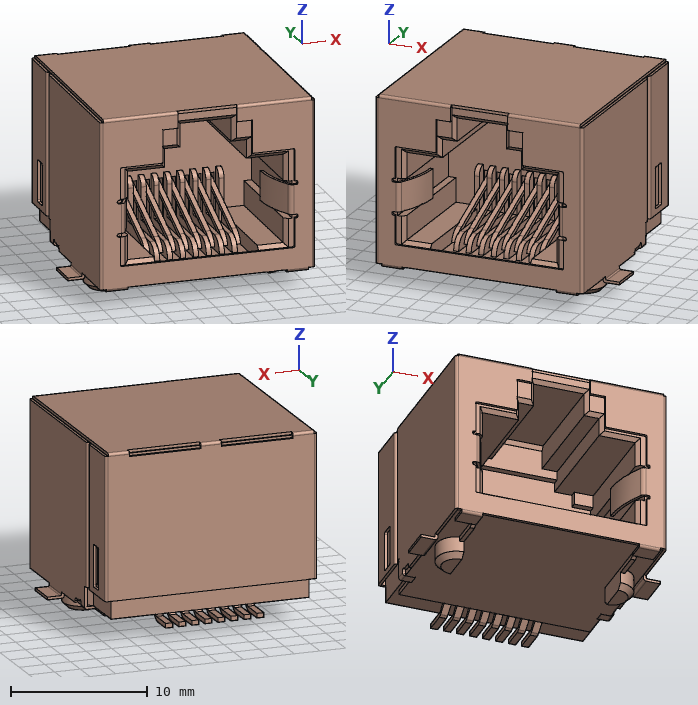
import cadquery as cq


sheet = 0.22
fold_radius = 0.2
half_width = 8.3
depth = 15.64
top_z = 13.6
bottom_z = 0.48
seam = 0.03
inner_half_width = half_width - sheet
inner_top_z = top_z - sheet

cover_bottom_z = 2.28
flap_front_y = 12.17
side_rear_y = 11.85
gap_edge_radius = 0.2
side_lower_rear_y = 11.4
window_y = (13.16, 14.23)
window_z = (2.76, 6.0)
window_radius = 0.12
rear_slot_x = (0.8, 6.4)
rear_slot_front_y = 15.25
rear_slot_bottom_z = 13.2

opening_half_widths = (6.73, 3.46, 2.28)
opening_bottom_z = 2.14
opening_step_z = (9.77, 12.34)
opening_corner_radius = 0.12
relief_diameter = 0.28

finger_z = (4.7, 7.0)
finger_slit_x = 6.83
finger_root_x = 6.8
finger_bend_x = (6.3, 6.65)
finger_bend_y = 0.25
finger_bend_middle = (6.44, 0.06)
finger_bow_middle = (5.64, 1.85)
finger_back_bend = (6.45, 0.42)
finger_back_bow_middle = (5.84, 1.95)
finger_back_root_x = 6.58
finger_tip = (5.35, 3.8)

solder_tab_y = (4.13, 6.65)
solder_tab_half_span = 9.4
solder_tab_inner_radius = 0.1
notch_y = (9.4, 10.63)
notch_top_z = 0.86
notch_chamfer = 0.12
side_fold_x = 7.3
front_fold_x = (6.15, 7.8)
front_fold_rear_y = 1.45

housing_rear_y = 15.4
housing_rear_half_width = 7.75
ledge_y = 13.36
ledge_z = 0.83
ledge_half_width = 7.5

mouth_half_widths = (6.3, 3.46, 2.28)
mouth_step_z = (9.56, 11.0)
mouth_top_z = 12.82
mouth_chamfer = 0.3
cavity_rear_y = 9.4
finger_slot_x = 6.6
finger_slot_z = (4.35, 7.25)
corner_stop_x = 4.52
corner_stop_z = 8.26
stop_thickness = 0.5
upper_stop_z = 10.0
ceiling_wedge = (0.2, 0.35)

contact_count = 8
pitch = 1.0
blade_width = 0.4
channel_half_width = 4.0
channel_floor_z = 1.3
rib_top_z = 2.46
rib_front_y = 2.65
comb_depth = 0.75
comb_round_z = 5.0
comb_top_z = 5.7
contact_bend = (4.35, 2.6)
contact_tip = (3.4, 1.65)
contact_curl_middle = (3.72, 2.22)
contact_under_middle = (3.98, 2.03)
contact_rear = (11.0, 5.26)
contact_thickness = 0.3

tail_pitch = 1.02
tail_width = 0.55
tail_end_y = 16.35
tail_thickness = 0.36
tail_top_y = (13.95, 14.43)
tail_under_y = (13.42, 14.35, 14.6)
tail_under_z = 0.1

peg_radius = 1.55
peg_x = 6.15
peg_y = 5.39
peg_bottom_z = -1.15
peg_chamfer = 0.42
standoff_x = (6.15, 6.5)
standoff_z = 0.12
standoff_y = (1.45, 4.2)
standoff_slope = 0.3
latch_z = (2.97, 5.76)
latch_height = 0.33
latch_crest_y = 13.48
latch_rear_y = 14.01


def block(x, y, z):
    """Box between the given (low, high) limits on each axis."""
    size = (x[1] - x[0], y[1] - y[0], z[1] - z[0])
    return cq.Workplane("XY").box(*size, centered=False).translate((x[0], y[0], z[0]))


def both_sides(solid):
    """The solid together with its mirror image across X = 0."""
    return solid.union(solid.mirror("YZ"))


def extrude_x(sketch_points, x_low, x_high):
    """Prism along X from a closed outline of (Y, Z) points."""
    outline = cq.Workplane("YZ", origin=(x_low, 0, 0)).polyline(sketch_points).close()
    return outline.extrude(x_high - x_low)


def stepped_outline(half_widths, bottom, steps, top):
    """Plug outline as (X, Z) points: a wide mouth with two narrower steps above it."""
    wide, middle, narrow = half_widths
    right = [
        (wide, bottom),
        (wide, steps[0]),
        (middle, steps[0]),
        (middle, steps[1]),
        (narrow, steps[1]),
        (narrow, top),
    ]
    return right + [(-x, z) for x, z in reversed(right)]


def extrude_y(points, y_low, y_high):
    """Prism toward +Y from a closed outline of (X, Z) points."""
    outline = cq.Workplane("XZ", origin=(0, y_low, 0)).polyline(points).close()
    return outline.extrude(y_low - y_high)



def wrapped_walls():
    """Front, side and rear panels with rounded vertical corners and an open gap on each side."""
    walls = block((-half_width, half_width), (0, depth), (bottom_z, inner_top_z)).edges("|Z").fillet(sheet)
    inside = block(
        (-inner_half_width, inner_half_width), (sheet, depth - sheet), (bottom_z, inner_top_z)
    )
    walls = walls.cut(inside)
    full_x = (-half_width, half_width)
    walls = walls.cut(block(full_x, (side_rear_y, flap_front_y), (bottom_z, inner_top_z)))
    walls = walls.cut(block(full_x, (side_lower_rear_y, depth), (bottom_z, cover_bottom_z)))
    gap_edges = walls.edges("|Z").edges(
        cq.selectors.BoxSelector(
            (half_width - sheet / 2, side_rear_y - sheet / 2, bottom_z),
            (half_width + sheet / 2, flap_front_y + sheet / 2, inner_top_z),
        )
        + cq.selectors.BoxSelector(
            (-half_width - sheet / 2, side_rear_y - sheet / 2, bottom_z),
            (-half_width + sheet / 2, flap_front_y + sheet / 2, inner_top_z),
        )
    )
    return gap_edges.fillet(gap_edge_radius)


def top_panel():
    """Top panel bent down into the front and rear panels."""
    half = inner_half_width - seam
    panel = block((-half, half), (0, depth), (inner_top_z - sheet, top_z))
    panel = panel.edges(">Z and |X").fillet(sheet)
    return panel.cut(block((-half, half), (sheet, depth - sheet), (0, inner_top_z)))


def front_opening():
    """Plug opening through the front panel, open at its top."""
    outline = stepped_outline(opening_half_widths, opening_bottom_z, opening_step_z, top_z)
    opening = extrude_y(outline, 0, sheet)
    opening = opening.edges("|Y").edges("<X or >X").fillet(opening_corner_radius)
    relief_radius = relief_diameter / 2
    for z in (finger_z[0] - relief_radius, finger_z[1] + relief_radius):
        spot = (finger_slit_x, 0, z)
        relief = cq.Workplane("XZ", origin=spot).circle(relief_radius).extrude(-sheet)
        slit = block((finger_tip[0], finger_slit_x), (0, sheet), (z - relief_radius, z + relief_radius))
        opening = opening.union(both_sides(relief.union(slit)))
    return opening


def grounding_finger():
    """Spring finger turned inward from the side of the opening."""
    tip_x, tip_y = finger_tip
    outline = (
        cq.Workplane("XY", origin=(0, 0, finger_z[0]))
        .moveTo(finger_root_x, 0)
        .lineTo(finger_bend_x[1], 0)
        .threePointArc(finger_bend_middle, (finger_bend_x[0], finger_bend_y))
        .threePointArc(finger_bow_middle, finger_tip)
        .lineTo(tip_x + sheet, tip_y)
        .threePointArc(finger_back_bow_middle, finger_back_bend)
        .lineTo(finger_back_root_x, sheet)
        .lineTo(finger_root_x, sheet)
        .close()
    )
    return outline.extrude(finger_z[1] - finger_z[0])


def solder_tab():
    """Tab running down from the side panel and bent outward onto the board."""
    down = block((inner_half_width, half_width), solder_tab_y, (0, bottom_z + sheet))
    out = block((inner_half_width, solder_tab_half_span), solder_tab_y, (0, sheet))
    tab = down.union(out)
    tab = tab.edges("|Y").edges("<X").edges("<Z").fillet(sheet)
    inner_corner = cq.selectors.NearestToPointSelector((half_width, sum(solder_tab_y) / 2, sheet))
    return tab.edges("|Y").edges(inner_corner).fillet(solder_tab_inner_radius)


def side_notch():
    """Notch in the lower edge of the side panel with a round relief beside the folded tab."""
    front, rear = notch_y
    outline = [
        (front, bottom_z),
        (rear, bottom_z),
        (rear, notch_top_z),
        (front + notch_chamfer, notch_top_z),
        (front, notch_top_z - 2 * notch_chamfer),
    ]
    notch = extrude_x(outline, inner_half_width, half_width)
    relief_y = rear - relief_diameter / 2
    relief = cq.Workplane("YZ", origin=(inner_half_width, relief_y, notch_top_z))
    return notch.union(relief.circle(relief_diameter / 2).extrude(sheet))


def side_fold():
    """Tab of the side panel folded under the housing."""
    fold_y = (notch_y[1], side_lower_rear_y)
    fold = block((side_fold_x, half_width), fold_y, (bottom_z, bottom_z + sheet))
    return fold.edges("|Y").edges(">X").edges("<Z").fillet(fold_radius)


def front_fold():
    """Tab of the front panel folded under the housing."""
    fold = block(front_fold_x, (0, front_fold_rear_y), (bottom_z - sheet, bottom_z))
    return fold.edges("|X").edges("<Y").edges("<Z").fillet(fold_radius)


def flap_window():
    """Rounded window in the rear flap for the housing latch."""
    window = block((inner_half_width, half_width), window_y, window_z)
    return window.edges("|X").fillet(window_radius)


def rear_slot():
    """Slot through the bend between the top panel and the rear cover."""
    return block(rear_slot_x, (rear_slot_front_y, depth), (rear_slot_bottom_z, top_z))


def make_shield():
    side_fold_corner = block(
        (inner_half_width, half_width), (notch_y[1], side_lower_rear_y), (bottom_z, bottom_z + sheet)
    )
    shield = wrapped_walls().union(top_panel())
    shield = shield.cut(front_opening())
    removed = side_notch().union(flap_window()).union(rear_slot()).union(side_fold_corner)
    shield = shield.cut(both_sides(removed))
    for part in (grounding_finger(), solder_tab(), side_fold(), front_fold()):
        shield = shield.union(both_sides(part))
    return shield



def housing_block():
    """Outer block: full width in front, tapering to a narrower rear end."""
    taper = inner_half_width - housing_rear_half_width
    right = [
        (inner_half_width, sheet),
        (inner_half_width, side_lower_rear_y),
        (housing_rear_half_width, side_lower_rear_y + taper),
        (housing_rear_half_width, housing_rear_y),
    ]
    outline = right + [(-x, y) for x, y in reversed(right)]
    body = cq.Workplane("XY", origin=(0, 0, bottom_z)).polyline(outline).close()
    body = body.extrude(inner_top_z - bottom_z)
    full_x = (-half_width, half_width)
    body = body.cut(block(full_x, (ledge_y, housing_rear_y), (bottom_z, ledge_z)))
    rebate = block((ledge_half_width, half_width), (side_lower_rear_y, ledge_y), (bottom_z, ledge_z))
    fold_seat = block(
        (side_fold_x, half_width), (notch_y[1], side_lower_rear_y), (bottom_z, bottom_z + sheet)
    )
    return body.cut(both_sides(fold_seat.union(rebate)))


def plug_cavity():
    """Stepped cavity with a chamfered mouth and clearance slots for the grounding fingers."""
    c = mouth_chamfer
    outer = stepped_outline(mouth_half_widths, opening_bottom_z, mouth_step_z, mouth_top_z)
    inner = stepped_outline(
        [half - c for half in mouth_half_widths],
        opening_bottom_z + c,
        [z - c for z in mouth_step_z],
        mouth_top_z - c,
    )
    mouth = cq.Workplane("XZ", origin=(0, sheet, 0)).polyline(outer).close()
    mouth = mouth.workplane(offset=-c).polyline(inner).close().loft(ruled=True)
    cavity = mouth.union(extrude_y(inner, sheet, cavity_rear_y))
    slot = block((0, finger_slot_x), (sheet, cavity_rear_y), finger_slot_z)
    channel = block(
        (-channel_half_width, channel_half_width),
        (sheet, cavity_rear_y),
        (channel_floor_z, rib_top_z + c),
    )
    return cavity.union(both_sides(slot)).union(channel)


def cavity_stops():
    """Raised areas on the rear wall of the cavity."""
    stop_y = (cavity_rear_y - stop_thickness, cavity_rear_y)
    corner = block((corner_stop_x, mouth_half_widths[0]), stop_y, (corner_stop_z, mouth_step_z[0]))
    half = mouth_half_widths[1]
    upper = block((-half, half), stop_y, (upper_stop_z, mouth_top_z))
    wedge_depth, wedge_height = ceiling_wedge
    ceiling_z = mouth_top_z - mouth_chamfer
    wedge = extrude_x(
        [
            (stop_y[0], ceiling_z - wedge_height),
            (stop_y[0], ceiling_z),
            (stop_y[0] - wedge_depth, ceiling_z),
        ],
        -half,
        half,
    )
    return both_sides(corner).union(upper).union(wedge)


def low_rib(x):
    """Rib on the channel floor with a rounded front end."""
    radius = rib_top_z - channel_floor_z
    diagonal = radius * 0.5 ** 0.5
    arc_middle = (rib_front_y + radius - diagonal, channel_floor_z + diagonal)
    outline = (
        cq.Workplane("YZ", origin=(x - blade_width / 2, 0, 0))
        .moveTo(cavity_rear_y, channel_floor_z)
        .lineTo(rib_front_y, channel_floor_z)
        .threePointArc(arc_middle, (rib_front_y + radius, rib_top_z))
        .lineTo(cavity_rear_y, rib_top_z)
        .close()
    )
    return outline.extrude(blade_width)


def comb_tooth(x):
    """Upright tooth at the rear wall with a rounded top."""
    half = blade_width / 2
    tooth = block(
        (x - half, x + half), (cavity_rear_y - comb_depth, cavity_rear_y), (channel_floor_z, comb_top_z)
    )
    return tooth.edges("|X").edges("<Y").edges(">Z").fillet(comb_top_z - comb_round_z)


def contact(x):
    """Sloping spring contact that curls down at its front end."""
    bend_y, bend_z = contact_bend
    tip_y, tip_z = contact_tip
    rear_y, rear_z = contact_rear
    drop = contact_thickness
    outline = (
        cq.Workplane("YZ", origin=(x - blade_width / 2, 0, 0))
        .moveTo(rear_y, rear_z)
        .lineTo(bend_y, bend_z)
        .threePointArc(contact_curl_middle, contact_tip)
        .lineTo(tip_y + drop, tip_z)
        .threePointArc(contact_under_middle, (bend_y + drop / 2, bend_z - drop))
        .lineTo(rear_y, rear_z - drop)
        .close()
    )
    return outline.extrude(blade_width)


def contact_slot(x):
    """Slot in the rear wall of the cavity that the contact runs into."""
    half = blade_width / 2
    rear_y, rear_z = contact_rear
    return block((x - half, x + half), (cavity_rear_y, rear_y), (channel_floor_z, rear_z))


def solder_tail(x):
    """Tail that leaves the underside of the housing and bends flat onto the board."""
    half = tail_width / 2
    root_z = ledge_z + tail_thickness
    outline = [
        (tail_end_y, 0),
        (tail_under_y[2], 0),
        (tail_under_y[1], tail_under_z),
        (tail_under_y[0], ledge_z),
        (tail_under_y[0], root_z),
        (tail_top_y[0], root_z),
        (tail_top_y[0], ledge_z),
        (tail_top_y[1], tail_thickness),
        (tail_end_y, tail_thickness),
    ]
    return extrude_x(outline, x - half, x + half)


def locating_peg():
    """Half-round peg with its flat toward the middle and a chamfered end."""
    peg = cq.Workplane("XY", origin=(peg_x, peg_y, peg_bottom_z)).circle(peg_radius)
    peg = peg.extrude(bottom_z - peg_bottom_z).faces("<Z").chamfer(peg_chamfer)
    outer_half = block(
        (peg_x, peg_x + peg_radius),
        (peg_y - peg_radius, peg_y + peg_radius),
        (peg_bottom_z, bottom_z),
    )
    return peg.intersect(outer_half)


def standoff():
    """Small rib under the housing with a sloped front end, running into the peg."""
    front, rear = standoff_y
    outline = [
        (front, bottom_z),
        (front, bottom_z - sheet),
        (front + standoff_slope, standoff_z),
        (rear, standoff_z),
        (rear, bottom_z),
    ]
    return extrude_x(outline, *standoff_x)


def latch():
    """Wedge on the side of the housing that catches in the flap window."""
    outline = [
        (housing_rear_half_width, window_y[0]),
        (housing_rear_half_width + latch_height, window_y[0]),
        (housing_rear_half_width + latch_height, latch_crest_y),
        (housing_rear_half_width, latch_rear_y),
    ]
    wedge = cq.Workplane("XY", origin=(0, 0, latch_z[0])).polyline(outline).close()
    return wedge.extrude(latch_z[1] - latch_z[0])


def make_housing():
    housing = housing_block().cut(plug_cavity()).union(cavity_stops())
    for part in (locating_peg(), standoff(), latch()):
        housing = housing.union(both_sides(part))
    middle = (contact_count - 1) / 2
    for i in range(contact_count):
        x = (i - middle) * pitch
        housing = housing.cut(contact_slot(x)).union(contact(x))
        housing = housing.union(solder_tail((i - middle) * tail_pitch))
    for i in range(contact_count + 1):
        x = (i - contact_count / 2) * pitch
        housing = housing.union(comb_tooth(x))
        if abs(x) < channel_half_width:
            housing = housing.union(low_rib(x))
    return housing


shield = make_shield()
housing = make_housing()
result = cq.Compound.makeCompound([shield.solids().val(), housing.solids().val()])